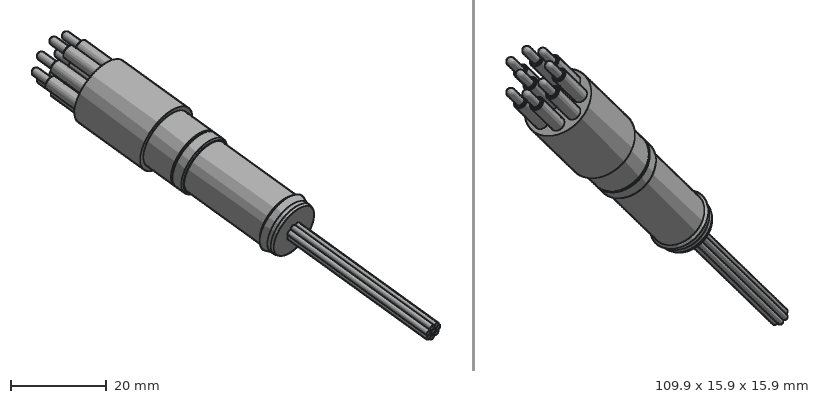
import cadquery as cq
import math

total_length = 109.9

shank_diameter = 3.2
contact_diameter = 2.0
tip_radius = 0.9
shank_start = 4.8
shank_chamfer = 0.2
ring_pin_radius = 5.4
ring_slots = 8
ring_slot_angle = 360 / ring_slots
inner_pin_offset = 1.5

sleeve_start = 14.3
collar_start = 33.2
groove_start = 41.1
groove_width = 0.3
barrel_start = 44.4
flange_start = 66.0
flange_crest = 66.6
flange_end = 68.2
body_end = 69.9

sleeve_diameter = 15.9
collar_diameter = 14.0
groove_diameter = 13.5
barrel_diameter = 12.7
flange_diameter = collar_diameter
collar_chamfer = 0.3
end_chamfer_length = 0.7
end_chamfer_depth = 0.2

wire_diameter = 1.3
wire_ring_radius = 1.5
ring_wires = 7
ring_wire_angle = 360 / ring_wires


def cylinder(start, end, diameter, y=0, z=0):
    """Round bar parallel to X."""
    plane = cq.Workplane("YZ", origin=(start, y, z))
    return plane.circle(diameter / 2).extrude(end - start)


def ring_point(radius, angle):
    """Y and Z of a point on a ring about the X axis; the angle is in degrees from +Y toward +Z."""
    return radius * math.cos(math.radians(angle)), radius * math.sin(math.radians(angle))


def make_body():
    """Solid of revolution from the sleeve face to the wire outlet, without the collar groove."""
    sleeve_radius = sleeve_diameter / 2
    collar_radius = collar_diameter / 2
    barrel_radius = barrel_diameter / 2
    profile = [
        (sleeve_start, 0),
        (sleeve_start, sleeve_radius),
        (collar_start, sleeve_radius),
        (collar_start, collar_radius),
        (barrel_start - collar_chamfer, collar_radius),
        (barrel_start, collar_radius - collar_chamfer),
        (barrel_start, barrel_radius),
        (flange_start, barrel_radius),
        (flange_crest, flange_diameter / 2),
        (flange_end, barrel_radius),
        (body_end - end_chamfer_length, barrel_radius),
        (body_end, barrel_radius - end_chamfer_depth),
        (body_end, 0),
    ]
    return cq.Workplane("XY").polyline(profile).close().revolve(360, (0, 0, 0), (1, 0, 0))


def cut_groove(body):
    end = groove_start + groove_width
    outer = cylinder(groove_start, end, sleeve_diameter)
    return body.cut(outer.cut(cylinder(groove_start, end, groove_diameter)))


def make_pin(y, z):
    contact = cylinder(0, sleeve_start, contact_diameter, y, z)
    contact = contact.faces("<X").fillet(tip_radius)
    shank = cylinder(shank_start, sleeve_start, shank_diameter, y, z)
    return contact.union(shank.faces("<X").chamfer(shank_chamfer))


def pin_positions():
    """Inner pin, then the ring pins; the ring slot on +Y stays empty."""
    ring = [ring_point(ring_pin_radius, slot * ring_slot_angle) for slot in range(1, ring_slots)]
    return [(inner_pin_offset, 0)] + ring


def wire_positions():
    """Core wire, then the ring around it, starting on +Y."""
    ring = [ring_point(wire_ring_radius, index * ring_wire_angle) for index in range(ring_wires)]
    return [(0, 0)] + ring


result = cut_groove(make_body())
for y, z in pin_positions():
    result = result.union(make_pin(y, z))
for y, z in wire_positions():
    result = result.union(cylinder(body_end, total_length, wire_diameter, y, z))